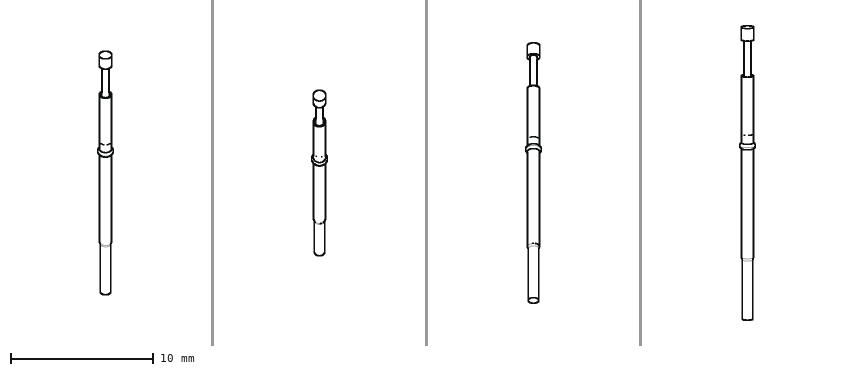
import cadquery as cq
import math

TOTAL_LENGTH = 21.05

HEAD_DIAMETER = 0.9
HEAD_LENGTH = 0.9
STEM_DIAMETER = 0.5

BARREL_DIAMETER = 0.86
BARREL_TOP = 17.53
BORE_DIAMETER = 0.7
BORE_DEPTH = 4.2
TAIL_DIAMETER = 0.75
TAIL_LENGTH = 4.3
TAPER_LENGTH = 0.17

COLLAR_DIAMETER = 1.12
COLLAR_HEIGHT = 0.4
COLLAR_CENTER = 12.5


def make_barrel():
    """Revolve the stepped barrel with its tail, then add the collar and cut the bore."""
    barrel_radius = BARREL_DIAMETER / 2
    tail_radius = TAIL_DIAMETER / 2
    body = (
        cq.Workplane("XZ")
        .moveTo(0, 0)
        .lineTo(tail_radius, 0)
        .lineTo(tail_radius, TAIL_LENGTH)
        .lineTo(barrel_radius, TAIL_LENGTH + TAPER_LENGTH)
        .lineTo(barrel_radius, BARREL_TOP)
        .lineTo(0, BARREL_TOP)
        .close()
        .revolve(360, (0, 0), (0, 1))
    )
    bore = (
        cq.Workplane("XY", origin=(0, 0, BARREL_TOP - BORE_DEPTH))
        .circle(BORE_DIAMETER / 2)
        .extrude(BORE_DEPTH)
    )
    return body.union(make_collar()).cut(bore)


def make_collar():
    """Disc as wide as the barrel whose side bulges out in two arcs that meet smoothly at the crest."""
    root_radius = BARREL_DIAMETER / 2
    bottom = COLLAR_CENTER - COLLAR_HEIGHT / 2
    top = COLLAR_CENTER + COLLAR_HEIGHT / 2
    bulge = COLLAR_DIAMETER / 2 - root_radius
    arc_radius = ((COLLAR_HEIGHT / 2) ** 2 + bulge**2) / (2 * bulge)
    half_angle = math.asin(COLLAR_HEIGHT / 2 / arc_radius) / 2
    mid_radius = COLLAR_DIAMETER / 2 - arc_radius * (1 - math.cos(half_angle))
    mid_offset = arc_radius * math.sin(half_angle)
    crest = (COLLAR_DIAMETER / 2, COLLAR_CENTER)
    lower_mid = (mid_radius, COLLAR_CENTER - mid_offset)
    upper_mid = (mid_radius, COLLAR_CENTER + mid_offset)
    return (
        cq.Workplane("XZ")
        .moveTo(0, bottom)
        .lineTo(root_radius, bottom)
        .threePointArc(lower_mid, crest)
        .threePointArc(upper_mid, (root_radius, top))
        .lineTo(0, top)
        .close()
        .revolve(360, (0, 0), (0, 1))
    )


def make_plunger():
    """Stem reaching the bottom of the bore, topped by a cylindrical head."""
    stem_bottom = BARREL_TOP - BORE_DEPTH
    head_bottom = TOTAL_LENGTH - HEAD_LENGTH
    return (
        cq.Workplane("XY", origin=(0, 0, stem_bottom))
        .circle(STEM_DIAMETER / 2)
        .extrude(head_bottom - stem_bottom)
        .faces(">Z")
        .workplane()
        .circle(HEAD_DIAMETER / 2)
        .extrude(HEAD_LENGTH)
    )


barrel = make_barrel()
plunger = make_plunger()

result = cq.Compound.makeCompound([barrel.val(), plunger.val()])